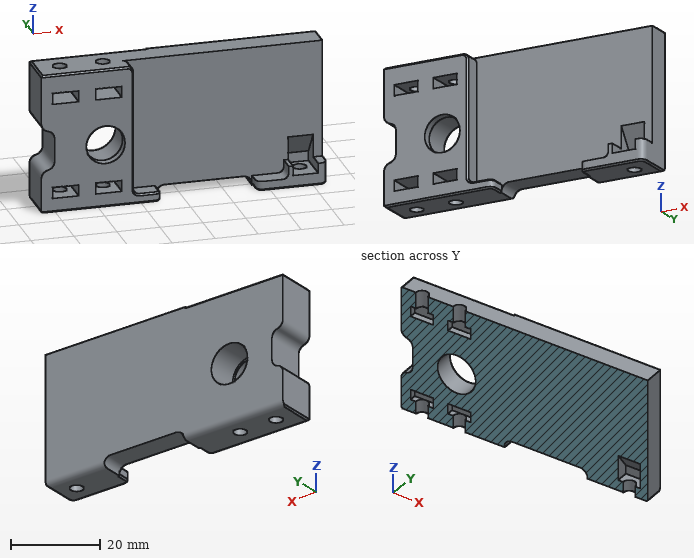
import cadquery as cq
import math

LENGTH = 66.5
DEPTH = 10.0
HEIGHT = 33.05
EDGE_BEVEL = 0.4
CORNER_RADIUS = 1.4

BLOCK_LENGTH = 21.5
FOOT_END = 27.85
FOOT_HEIGHT = 2.25

PLATE_FRONT = 4.1
PLATE_START = BLOCK_LENGTH / 2
GAP_CORNER_RADIUS = 2.0

LATCH_START = 50.15
LATCH_STEP = 57.5
LATCH_HEIGHT = 5.25
LATCH_CORNER_RADIUS = 1.5

POCKET_LEFT = 58.5
POCKET_WIDTH = 5.85
POCKET_FLOOR = 2.9
POCKET_TOP = 10.65
POCKET_BACK = 8.0
LATCH_HOLE_DIAMETER = 3.2
LATCH_HOLE_Y = 5.0

BORE_X = 14.95
BORE_Z = 14.95
BORE_DIAMETER = 9.0
COUNTERBORE_DIAMETER = 10.1
COUNTERBORE_START = 2.05
NOTCH_DEPTH = 3.05
NOTCH_MOUTH_HALF = 6.6
NOTCH_FLOOR_HALF = 2.7

SLOT_CENTERS_X = (5.65, 15.7)
SLOT_WIDTH = 6.05
SLOT_HEIGHT = 2.6
UPPER_SLOT_BOTTOM = 26.0
LOWER_SLOT_TOP = 6.0
WIRE_HOLE_DIAMETER = 3.2
WIRE_HOLE_Y = DEPTH / 2
SLOT_DEPTH = WIRE_HOLE_Y + WIRE_HOLE_DIAMETER / 2

BACK_BEVEL_END = 27.25


def extrude_back(sketch, depth):
    """Extrude an XZ outline from its plane towards +Y."""
    return sketch.extrude(-depth)


def make_block():
    outline = cq.Workplane("XZ").polyline([
        (0, 0),
        (FOOT_END, 0),
        (FOOT_END, FOOT_HEIGHT),
        (BLOCK_LENGTH, FOOT_HEIGHT),
        (BLOCK_LENGTH, HEIGHT),
        (0, HEIGHT),
    ]).close()
    block = extrude_back(outline, DEPTH)
    inner_corner = cq.selectors.NearestToPointSelector((BLOCK_LENGTH, DEPTH / 2, FOOT_HEIGHT))
    top_corner = cq.selectors.NearestToPointSelector((BLOCK_LENGTH, DEPTH / 2, HEIGHT))
    foot_corner = cq.selectors.NearestToPointSelector((FOOT_END, 0, FOOT_HEIGHT / 2))
    block = block.edges(inner_corner).fillet(CORNER_RADIUS)
    block = block.edges(top_corner).fillet(CORNER_RADIUS)
    block = block.edges(foot_corner).fillet(CORNER_RADIUS)
    front_rim = block.faces("<Y").edges("not(<X)")
    left_ends = block.faces("<X").edges("|Y")
    return front_rim.add(left_ends).chamfer(EDGE_BEVEL)


def make_plate():
    outline = (
        cq.Workplane("XZ", origin=(0, PLATE_FRONT, 0))
        .moveTo(PLATE_START, 0)
        .lineTo(FOOT_END, 0)
        .lineTo(FOOT_END, FOOT_HEIGHT - GAP_CORNER_RADIUS)
        .radiusArc((FOOT_END + GAP_CORNER_RADIUS, FOOT_HEIGHT), GAP_CORNER_RADIUS)
        .lineTo(LATCH_START - GAP_CORNER_RADIUS, FOOT_HEIGHT)
        .radiusArc((LATCH_START, FOOT_HEIGHT - GAP_CORNER_RADIUS), GAP_CORNER_RADIUS)
        .lineTo(LATCH_START, 0)
        .lineTo(LENGTH - EDGE_BEVEL, 0)
        .lineTo(LENGTH, EDGE_BEVEL)
        .lineTo(LENGTH, HEIGHT)
        .lineTo(PLATE_START, HEIGHT)
        .close()
    )
    return extrude_back(outline, DEPTH - PLATE_FRONT)


def make_latch_foot():
    outline = cq.Workplane("XZ").polyline([
        (LATCH_START, 0),
        (LENGTH, 0),
        (LENGTH, LATCH_HEIGHT),
        (LATCH_STEP, LATCH_HEIGHT),
        (LATCH_STEP, FOOT_HEIGHT),
        (LATCH_START, FOOT_HEIGHT),
    ]).close()
    foot = extrude_back(outline, DEPTH)
    step_corner = cq.selectors.NearestToPointSelector((LATCH_STEP, DEPTH / 2, FOOT_HEIGHT))
    foot = foot.edges(step_corner).fillet(CORNER_RADIUS)
    foot = foot.faces("<Y").edges("<X or >X").fillet(LATCH_CORNER_RADIUS)
    return foot.faces("<Z").edges("<Y").chamfer(EDGE_BEVEL)


def make_latch_pocket():
    pocket = (
        cq.Workplane("YZ", origin=(POCKET_LEFT, 0, 0))
        .polyline([
            (0, POCKET_FLOOR),
            (POCKET_BACK, POCKET_FLOOR),
            (POCKET_BACK, LATCH_HEIGHT),
            (PLATE_FRONT, POCKET_TOP),
            (0, POCKET_TOP),
        ])
        .close()
        .extrude(POCKET_WIDTH)
    )
    hole = (
        cq.Workplane("XY")
        .center(POCKET_LEFT + POCKET_WIDTH / 2, LATCH_HOLE_Y)
        .circle(LATCH_HOLE_DIAMETER / 2)
        .extrude(POCKET_FLOOR)
    )
    return pocket.union(hole)


def make_bore():
    bore = extrude_back(
        cq.Workplane("XZ").center(BORE_X, BORE_Z).circle(BORE_DIAMETER / 2), DEPTH)
    counterbore = extrude_back(
        cq.Workplane("XZ", origin=(0, COUNTERBORE_START, 0))
        .center(BORE_X, BORE_Z)
        .circle(COUNTERBORE_DIAMETER / 2),
        DEPTH - COUNTERBORE_START,
    )
    return bore.union(counterbore)


def make_side_notch():
    flank_height = NOTCH_MOUTH_HALF - NOTCH_FLOOR_HALF
    turn = 2 * math.atan(NOTCH_DEPTH / flank_height)
    radius = flank_height / (2 * math.sin(turn))
    middle_x = NOTCH_DEPTH / 2
    middle_z = (NOTCH_MOUTH_HALF + NOTCH_FLOOR_HALF) / 2
    outline = (
        cq.Workplane("XZ")
        .center(0, BORE_Z)
        .moveTo(0, -NOTCH_MOUTH_HALF)
        .radiusArc((middle_x, -middle_z), radius)
        .radiusArc((NOTCH_DEPTH, -NOTCH_FLOOR_HALF), -radius)
        .lineTo(NOTCH_DEPTH, NOTCH_FLOOR_HALF)
        .radiusArc((middle_x, middle_z), -radius)
        .radiusArc((0, NOTCH_MOUTH_HALF), radius)
        .close()
    )
    return extrude_back(outline, DEPTH)


def make_wire_entry(center_x, slot_bottom, hole_bottom, hole_top):
    slot_center_z = slot_bottom + SLOT_HEIGHT / 2
    slot = extrude_back(
        cq.Workplane("XZ").center(center_x, slot_center_z).rect(SLOT_WIDTH, SLOT_HEIGHT), SLOT_DEPTH)
    hole = (
        cq.Workplane("XY", origin=(center_x, WIRE_HOLE_Y, hole_bottom))
        .circle(WIRE_HOLE_DIAMETER / 2)
        .extrude(hole_top - hole_bottom)
    )
    return slot.union(hole)


def make_back_bevel():
    return (
        cq.Workplane("YZ")
        .polyline([
            (DEPTH - EDGE_BEVEL, HEIGHT),
            (DEPTH, HEIGHT),
            (DEPTH, HEIGHT - EDGE_BEVEL),
        ])
        .close()
        .extrude(BACK_BEVEL_END)
    )


def make_back_round():
    return (
        cq.Workplane("YZ")
        .moveTo(DEPTH - CORNER_RADIUS, 0)
        .lineTo(DEPTH, 0)
        .lineTo(DEPTH, CORNER_RADIUS)
        .radiusArc((DEPTH - CORNER_RADIUS, 0), CORNER_RADIUS)
        .close()
        .extrude(LENGTH)
    )


body = make_block().union(make_plate()).union(make_latch_foot())
body = body.cut(make_latch_pocket()).cut(make_bore()).cut(make_side_notch())
body = body.cut(make_back_bevel()).cut(make_back_round())

for center_x in SLOT_CENTERS_X:
    upper_entry = make_wire_entry(center_x, UPPER_SLOT_BOTTOM, UPPER_SLOT_BOTTOM, HEIGHT)
    lower_entry = make_wire_entry(center_x, LOWER_SLOT_TOP - SLOT_HEIGHT, 0, LOWER_SLOT_TOP)
    body = body.cut(upper_entry).cut(lower_entry)

result = body